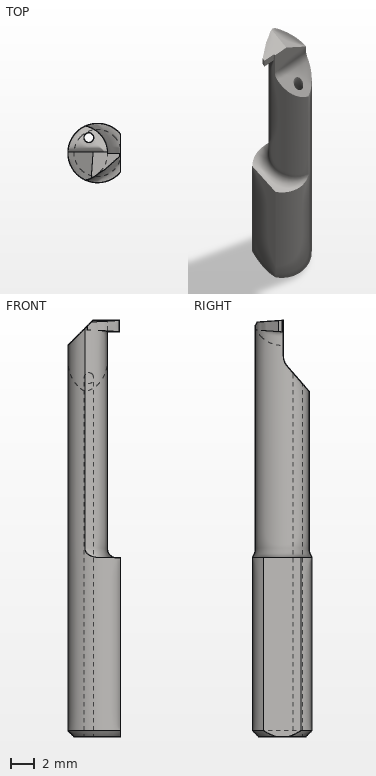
import cadquery as cq
import math

total_length = 35.0
shank_diameter = 5.0
shank_radius = shank_diameter / 2
shank_width = 4.45
flat_x = shank_width - shank_radius
base_chamfer = 0.52

shoulder_z = 15.05
neck_radius = 2.3
neck_right_x = 0.85
neck_axis_x = neck_right_x - neck_radius
neck_fillet = 0.75

hole_x = -0.75
hole_y = 1.3
hole_diameter = 0.8

flute_face_y = 0.1
flute_arc_radius = 1.3
flute_turn = math.radians(41)
flute_arc_top_z = 32.0

head_chamfer_x = -0.4
tip_x = 1.85
tip_face_y = -0.05
tip_height = 0.98
tip_land_x = 1.82
tip_land_y = -0.3
heel_x = 0.6
heel_y = -1.4
heel_end_x = -0.88
heel_end_y = -2.3
clearance_angle = math.radians(4)

margin = 3.5


def make_shank():
    """Round shank with a chamfered base and a flat on +X."""
    shank = cq.Workplane("XY").circle(shank_radius).extrude(total_length)
    shank = shank.faces("<Z").chamfer(base_chamfer)
    flat_cut = (
        cq.Workplane("XY")
        .box(margin, 4 * shank_radius, 2 * total_length, centered=(False, True, True))
        .translate((flat_x, 0, 0))
    )
    return shank.cut(flat_cut)


def make_neck_envelope():
    """Solid of revolution about the neck axis, flaring through a fillet at the shoulder."""
    outer_radius = 3 * shank_radius
    flare_radius = neck_radius + neck_fillet
    fillet_z = shoulder_z + neck_fillet
    arc_middle = (
        flare_radius - neck_fillet * math.sin(math.pi / 4),
        fillet_z - neck_fillet * math.cos(math.pi / 4),
    )
    return (
        cq.Workplane("XZ")
        .moveTo(0, -margin)
        .lineTo(outer_radius, -margin)
        .lineTo(outer_radius, shoulder_z)
        .lineTo(flare_radius, shoulder_z)
        .threePointArc(arc_middle, (neck_radius, fillet_z))
        .lineTo(neck_radius, total_length + margin)
        .lineTo(0, total_length + margin)
        .close()
        .revolve(360, (0, 0, 0), (0, 1, 0))
        .translate((neck_axis_x, 0, 0))
    )


def make_tip():
    """Cutting tip reaching past the neck, with its end faces relieved behind the cutting edge."""
    plan = (
        cq.Workplane("XY")
        .moveTo(head_chamfer_x, tip_face_y)
        .lineTo(tip_x, tip_face_y)
        .lineTo(tip_land_x, tip_land_y)
        .lineTo(heel_x, heel_y)
        .lineTo(heel_end_x, heel_end_y)
        .close()
        .extrude(total_length)
    )
    depth = -heel_end_y
    relief = depth * math.tan(clearance_angle)
    side = (
        cq.Workplane("YZ")
        .polyline([
            (0, total_length),
            (0, total_length - tip_height),
            (-depth, total_length - tip_height + relief),
            (-depth, total_length),
        ])
        .close()
        .extrude(2 * margin, both=True)
    )
    return plan.intersect(side)


def make_flute():
    """Flat face running down through an arc to a slope that leaves the +Y side."""
    def arc_point(angle):
        return (
            flute_face_y + flute_arc_radius * (1 - math.cos(angle)),
            flute_arc_top_z - flute_arc_radius * math.sin(angle),
        )

    arc_end = arc_point(flute_turn)
    exit_y = shank_radius + margin
    exit_z = arc_end[1] - (exit_y - arc_end[0]) / math.tan(flute_turn)
    return (
        cq.Workplane("YZ")
        .moveTo(flute_face_y, total_length + margin)
        .lineTo(flute_face_y, flute_arc_top_z)
        .threePointArc(arc_point(flute_turn / 2), arc_end)
        .lineTo(exit_y, exit_z)
        .lineTo(exit_y, total_length + margin)
        .close()
        .extrude(2 * margin, both=True)
    )


def make_head_chamfer():
    """45 degree cut across the -X corner of the head."""
    return (
        cq.Workplane("XZ")
        .polyline([
            (head_chamfer_x + margin, total_length + margin),
            (head_chamfer_x - margin, total_length - margin),
            (head_chamfer_x - margin, total_length + margin),
        ])
        .close()
        .extrude(2 * margin, both=True)
    )


def make_top_relief():
    """Wedge that lets the end face fall away on the -Y side."""
    reach = shank_radius + margin
    return (
        cq.Workplane("YZ")
        .polyline([
            (0, total_length),
            (-reach, total_length),
            (-reach, total_length - reach * math.tan(clearance_angle)),
        ])
        .close()
        .extrude(2 * margin, both=True)
    )


coolant_hole = (
    cq.Workplane("XY").center(hole_x, hole_y).circle(hole_diameter / 2).extrude(total_length)
)

body = make_shank().intersect(make_neck_envelope()).union(make_tip())
for cutter in (make_flute(), make_head_chamfer(), make_top_relief(), coolant_hole):
    body = body.cut(cutter)

result = body